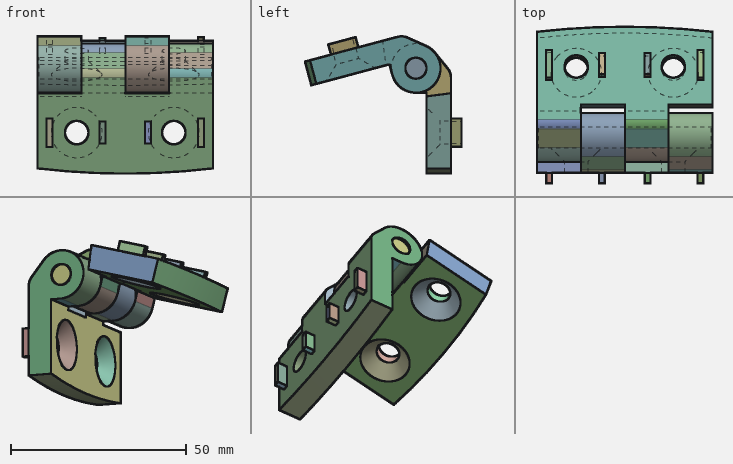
import cadquery as cq
import math

WIDTH = 50.0
KNUCKLE_COUNT = 4
KNUCKLE_LENGTH = WIDTH / KNUCKLE_COUNT
FOLD_ANGLE = 75.0

PIN_RADIUS = 3.0
PIN_RECESS = 0.5
BARREL_RADIUS = 7.0
SLOPE_ANGLE = 39.0
SHOULDER_RADIUS = 4.0

INNER_FACE = PIN_RADIUS
THICKNESS = 7.0
OUTER_FACE = INNER_FACE + THICKNESS
LEAF_REACH = 30.0
END_BOW = 1.5
CORNER_REACH = LEAF_REACH - END_BOW
FLOOR_REACH_INNER = 8.0
FLOOR_REACH_OUTER = 7.1

ROW_REACH = 18.3
HOLE_DIAMETER = 6.6
HOLE_OFFSET = 13.8
COUNTERSINK_DIAMETER = 14.4
COUNTERSINK_ANGLE = 90.0
TAB_WIDTH = 1.65
TAB_HEIGHT = 3.0
OUTER_TAB_OFFSET = 21.5
OUTER_TAB_LENGTH = 8.1
INNER_TAB_OFFSET = 6.5
INNER_TAB_LENGTH = 6.2


def make_plate():
    """Flat plate hanging below the pin, with a sloping top edge and a bowed lower end."""
    section = (
        cq.Workplane("YZ")
        .polyline([
            (-INNER_FACE, -FLOOR_REACH_INNER),
            (-OUTER_FACE, -FLOOR_REACH_OUTER),
            (-OUTER_FACE, -LEAF_REACH),
            (-INNER_FACE, -LEAF_REACH),
        ])
        .close()
        .extrude(WIDTH / 2, both=True)
    )
    outline = (
        cq.Workplane("XZ")
        .moveTo(-WIDTH / 2, 0)
        .lineTo(-WIDTH / 2, -CORNER_REACH)
        .threePointArc((0, -LEAF_REACH), (WIDTH / 2, -CORNER_REACH))
        .lineTo(WIDTH / 2, 0)
        .close()
        .extrude(OUTER_FACE)
    )
    return section.intersect(outline)


def make_knuckle(start_x):
    """Barrel segment that blends into the plate through a sloping flat and a rounded shoulder."""
    slope = math.radians(SLOPE_ANGLE)
    shoulder_y = OUTER_FACE - SHOULDER_RADIUS
    shoulder_drop = (
        shoulder_y * math.cos(slope) - (BARREL_RADIUS - SHOULDER_RADIUS)
    ) / math.sin(slope)

    def on_barrel(angle):
        return (-BARREL_RADIUS * math.cos(angle), BARREL_RADIUS * math.sin(angle))

    def on_shoulder(angle):
        return (
            -shoulder_y - SHOULDER_RADIUS * math.cos(angle),
            -shoulder_drop + SHOULDER_RADIUS * math.sin(angle),
        )

    barrel_bottom = 1.5 * math.pi
    return (
        cq.Workplane("YZ", origin=(start_x, 0, 0))
        .moveTo(-INNER_FACE, -FLOOR_REACH_INNER)
        .lineTo(-OUTER_FACE, -FLOOR_REACH_OUTER)
        .lineTo(*on_shoulder(0))
        .threePointArc(on_shoulder(slope / 2), on_shoulder(slope))
        .lineTo(*on_barrel(slope))
        .threePointArc(on_barrel((slope + barrel_bottom) / 2), on_barrel(barrel_bottom))
        .lineTo(-INNER_FACE, -BARREL_RADIUS)
        .close()
        .extrude(KNUCKLE_LENGTH)
    )


def make_tab(x, length):
    """Rectangular tab standing on the outer face."""
    return cq.Workplane("XY").box(TAB_WIDTH, TAB_HEIGHT, length).translate(
        (x, -OUTER_FACE - TAB_HEIGHT / 2, -ROW_REACH)
    )


def make_screw_hole(x):
    """Cutter for a through hole that is countersunk from the inner face."""
    inner_centre = cq.Workplane("XZ", origin=(x, -INNER_FACE, -ROW_REACH))
    bore = inner_centre.circle(HOLE_DIAMETER / 2).extrude(THICKNESS)
    cone_half_angle = math.radians(COUNTERSINK_ANGLE / 2)
    cone_height = COUNTERSINK_DIAMETER / 2 / math.tan(cone_half_angle)
    cone = cq.Workplane(
        cq.Solid.makeCone(
            COUNTERSINK_DIAMETER / 2,
            0,
            cone_height,
            cq.Vector(x, -INNER_FACE, -ROW_REACH),
            cq.Vector(0, -1, 0),
        )
    )
    return bore.union(cone)


def make_pin_bore():
    """Cutter for the pin's bore through every knuckle."""
    return cq.Workplane("YZ").circle(PIN_RADIUS).extrude(WIDTH / 2, both=True)


def make_leaf():
    """Hinge leaf hanging straight down, with knuckles in every second place along the pin."""
    leaf = make_plate()
    for place in range(1, KNUCKLE_COUNT, 2):
        leaf = leaf.union(make_knuckle(-WIDTH / 2 + place * KNUCKLE_LENGTH))
    for side in (-1, 1):
        leaf = leaf.union(make_tab(side * OUTER_TAB_OFFSET, OUTER_TAB_LENGTH))
        leaf = leaf.union(make_tab(side * INNER_TAB_OFFSET, INNER_TAB_LENGTH))

    for side in (-1, 1):
        leaf = leaf.cut(make_screw_hole(side * HOLE_OFFSET))
    return leaf.cut(make_pin_bore())


def make_pin():
    """Plain pin, slightly short of the knuckles at both ends."""
    return cq.Workplane("YZ").circle(PIN_RADIUS).extrude(WIDTH / 2 - PIN_RECESS, both=True)


pin = make_pin()
lower_leaf = make_leaf()
upper_leaf = (
    make_leaf()
    .rotate((0, 0, 0), (0, 0, 1), 180)
    .rotate((0, 0, 0), (1, 0, 0), FOLD_ANGLE)
)

result = cq.Compound.makeCompound([lower_leaf.val(), upper_leaf.val(), pin.val()])